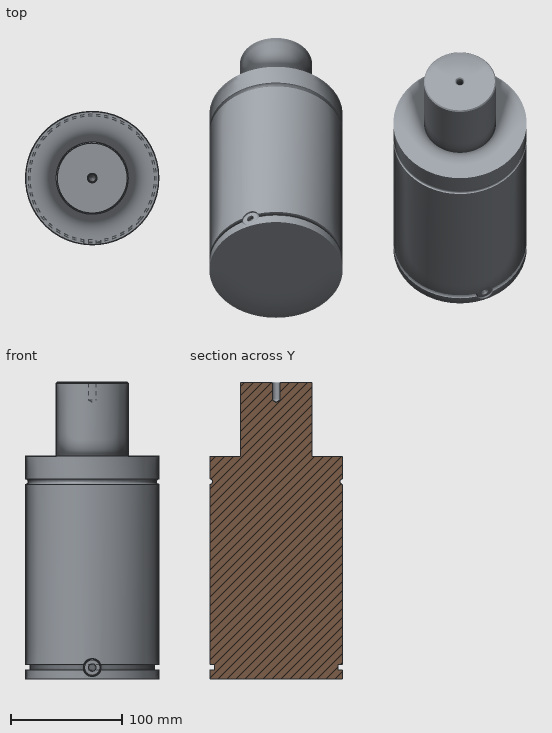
import cadquery as cq
import math

total_height = 267.0
body_diameter = 120.0
body_height = 200.5
rod_diameter = 65.0
rod_chamfer = 1.0

round_groove_radius = 2.5
round_groove_z = 177.5

square_groove_bottom = 8.3
square_groove_width = 4.8
square_groove_depth = 4.0

plug_diameter = 16.0
plug_face_diameter = 14.0
plug_z = 10.5
plug_recess = 0.93
plug_hole_diameter = 6.7
plug_hole_depth = 4.0

rod_hole_diameter = 6.7
rod_hole_mouth_diameter = 8.5
rod_hole_depth = 16.0
drill_point_angle = 118

body_radius = body_diameter / 2
plug_face_y = -(body_radius - plug_recess)
plug_chamfer = (plug_diameter - plug_face_diameter) / 2


def make_cylinder():
    """Body with the piston rod standing on it."""
    body = cq.Workplane("XY").circle(body_radius).extrude(body_height)
    rod = (
        cq.Workplane("XY", origin=(0, 0, body_height))
        .circle(rod_diameter / 2)
        .extrude(total_height - body_height)
        .faces(">Z")
        .chamfer(rod_chamfer)
    )
    return body.union(rod)


def make_round_groove():
    """Ring with a round section, centred on the body surface."""
    return (
        cq.Workplane("XZ")
        .center(body_radius, round_groove_z)
        .circle(round_groove_radius)
        .revolve(360, (-body_radius, 0), (-body_radius, 1))
    )


def make_square_groove():
    """Ring with a rectangular section, open to the body surface."""
    return (
        cq.Workplane("XY", origin=(0, 0, square_groove_bottom))
        .circle(body_diameter)
        .circle(body_radius - square_groove_depth)
        .extrude(square_groove_width)
    )


def side_cylinder(diameter, outer_y, length):
    """Cylinder on the plug axis, running from outer_y into the body."""
    return (
        cq.Workplane("XZ", origin=(0, outer_y, plug_z))
        .circle(diameter / 2)
        .extrude(-length)
    )


def add_plug(part):
    """Recessed plug with a chamfered face and a blind centre hole."""
    plug_length = 2 * plug_hole_depth
    bore_depth = plug_recess + plug_chamfer
    bore = side_cylinder(plug_diameter, -body_radius, bore_depth)
    plug = side_cylinder(plug_diameter, plug_face_y, plug_length).faces("<Y").chamfer(plug_chamfer)
    hole = side_cylinder(plug_hole_diameter, plug_face_y, plug_hole_depth)
    return part.cut(bore).union(plug).cut(hole)


def make_rod_hole():
    """Countersunk blind hole with a conical drill point, opening at the rod end."""
    hole_radius = rod_hole_diameter / 2
    mouth_radius = rod_hole_mouth_diameter / 2
    countersink_depth = mouth_radius - hole_radius
    point_depth = hole_radius / math.tan(math.radians(drill_point_angle / 2))
    hole_bottom = total_height - rod_hole_depth
    return (
        cq.Workplane("XZ")
        .moveTo(0, total_height)
        .lineTo(mouth_radius, total_height)
        .lineTo(hole_radius, total_height - countersink_depth)
        .lineTo(hole_radius, hole_bottom)
        .lineTo(0, hole_bottom - point_depth)
        .close()
        .revolve(360, (0, 0), (0, 1))
    )


result = make_cylinder().cut(make_round_groove()).cut(make_square_groove())
result = add_plug(result)
result = result.cut(make_rod_hole())